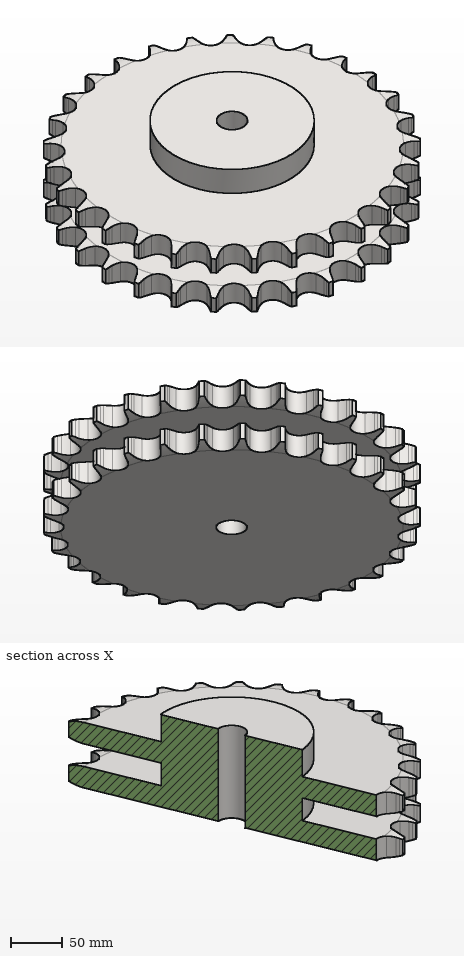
import cadquery as cq
import math


hub_height = 100.0
hub_diameter = 160.0
bore_diameter = 30.0

outer_width = 367.0
tooth_count = 29
plate_thickness = 23.5
plate_spacing = 47.5

pitch_radius = 176.0
seat_radius = 13.0
seat_half_angle = math.radians(53)
flank_radius = 33.0
flank_sweep = math.radians(16)
straight_length = 3.45
tip_half_angle = math.radians(0.75)

face_start_radius = 166.5
face_drop = 3.3

tooth_pitch = 2 * math.pi / tooth_count
first_gap_angle = math.pi / 2
tip_radius = outer_width / 2 / math.cos(tooth_pitch / 4 - tip_half_angle)


def step(point, distance, heading):
    """Move a point by a distance along a heading measured from +X."""
    return (
        point[0] + distance * math.cos(heading),
        point[1] + distance * math.sin(heading),
    )


def arc_step(point, radius, heading, sweep):
    """Follow an arc that starts along the heading and turns left by the sweep."""
    return step(point, 2 * radius * math.sin(sweep / 2), heading + sweep / 2)


def tangent_arc_middle(start, heading, end):
    """Middle of the arc that leaves start along the heading and reaches end."""
    chord_heading = math.atan2(end[1] - start[1], end[0] - start[0])
    half_turn = (chord_heading - heading) / 2
    return step(start, math.dist(start, end) / 2 / math.cos(half_turn), heading + half_turn)


def turned(point, angle):
    """Turn a point of the gap on +Y to the gap at the given angle."""
    return step((0, 0), math.hypot(*point), math.atan2(point[1], point[0]) + angle - math.pi / 2)


def half_gap():
    """Right half of the gap centred on +Y, from the end of the seat to the tip."""
    root = (0, pitch_radius - seat_radius)
    seat_end = arc_step(root, seat_radius, 0, seat_half_angle)
    flank_middle = arc_step(seat_end, flank_radius, seat_half_angle, flank_sweep / 2)
    flank_end = arc_step(seat_end, flank_radius, seat_half_angle, flank_sweep)
    straight_heading = seat_half_angle + flank_sweep
    straight_end = step(flank_end, straight_length, straight_heading)
    tip = step((0, 0), tip_radius, math.pi / 2 - tooth_pitch / 2 + tip_half_angle)
    topping_middle = tangent_arc_middle(straight_end, straight_heading, tip)
    return [seat_end, flank_middle, flank_end, straight_end, topping_middle, tip]


def tooth_outline():
    """Closed outline going clockwise, one gap and one tooth tip at a time."""
    right_half = half_gap()
    left_half = [(-x, y) for x, y in right_half]
    left_tip = left_half[-1]

    outline = cq.Workplane("XY").moveTo(*turned(left_tip, first_gap_angle))
    for index in range(tooth_count):
        angle = first_gap_angle - index * tooth_pitch
        seat_start, left_flank, left_flank_top, left_topping, left_topping_middle, _ = [
            turned(point, angle) for point in left_half
        ]
        seat_end, right_flank, right_flank_top, right_topping, right_topping_middle, right_tip = [
            turned(point, angle) for point in right_half
        ]
        root = step((0, 0), pitch_radius - seat_radius, angle)
        tip_middle = step((0, 0), tip_radius, angle - tooth_pitch / 2)
        outline = (
            outline.threePointArc(left_topping_middle, left_topping)
            .lineTo(*left_flank_top)
            .threePointArc(left_flank, seat_start)
            .threePointArc(root, seat_end)
            .threePointArc(right_flank, right_flank_top)
            .lineTo(*right_topping)
            .threePointArc(right_topping_middle, right_tip)
            .threePointArc(tip_middle, turned(left_tip, angle - tooth_pitch))
        )
    return outline.close()


def rounded_disc():
    """Disc whose two faces curve toward each other near the rim."""
    middle_height = plate_thickness / 2
    rim_half_height = middle_height - face_drop
    face_start = (face_start_radius, middle_height)
    rim = (tip_radius, rim_half_height)
    face_middle = tangent_arc_middle(face_start, 0, rim)
    return (
        cq.Workplane("XZ")
        .moveTo(0, middle_height)
        .lineTo(*face_start)
        .threePointArc(face_middle, rim)
        .lineTo(tip_radius, -rim_half_height)
        .threePointArc((face_middle[0], -face_middle[1]), (face_start_radius, -middle_height))
        .lineTo(0, -middle_height)
        .close()
        .revolve(360, (0, 0, 0), (0, 1, 0))
        .translate((0, 0, middle_height))
    )


def cylinder(diameter):
    return cq.Workplane("XY").circle(diameter / 2).extrude(hub_height)


plate = tooth_outline().extrude(plate_thickness).intersect(rounded_disc())
hub = cylinder(hub_diameter)
for plate_bottom in (0, plate_spacing):
    hub = hub.union(plate.translate((0, 0, plate_bottom)))

result = hub.cut(cylinder(bore_diameter))